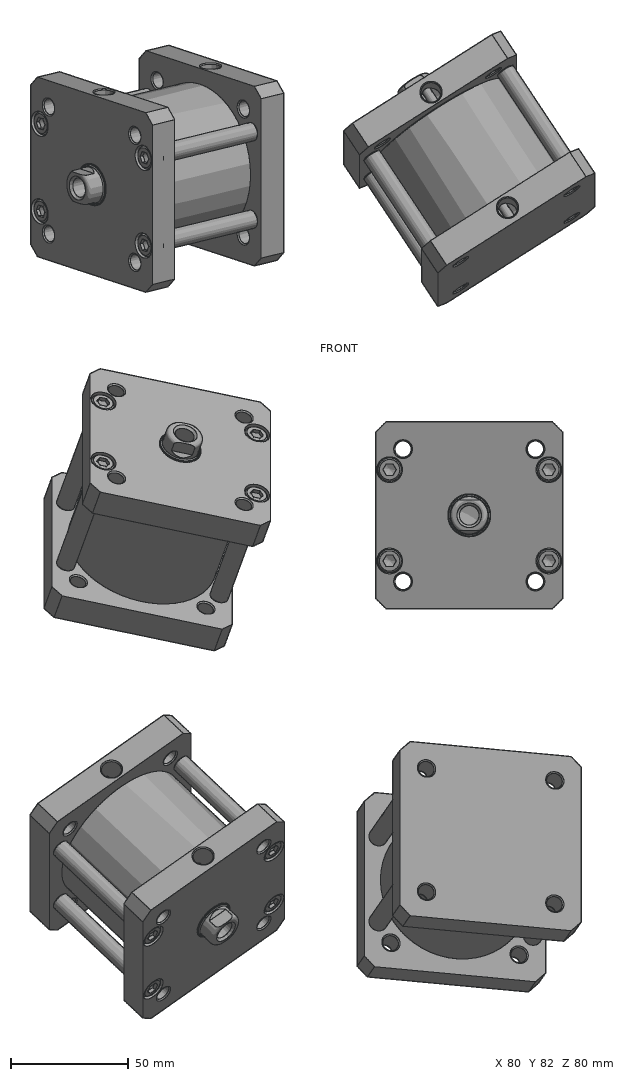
import cadquery as cq
import math


plate_side = 80.0
front_plate_thickness = 12.5
rear_plate_thickness = 12.8
corner_chamfer = 4.5
spigot_height = 2.5

hole_offset = 28.3
hole_diameter = 6.9
hole_mouth_diameter = 8.0

port_diameter = 8.5
port_mouth_diameter = 9.5
port_depth = 12.3
port_face_distance = 7.0
port_bar_diameter = 4.0
drill_point_angle = 118

tube_outer_diameter = 66.0
tube_bore_diameter = 63.0
end_gap = 0.3

rod_length_outside = 8.0
rod_diameter = 16.0
rod_tip_fillet = 1.7
rod_flats_width = 13.0
rod_flats_length = 5.5
rod_hole_diameter = 8.4
rod_hole_mouth_diameter = 10.5
rod_hole_depth = 15.0
rod_hole_cone_height = 0.5

lip_groove_diameter = 18.4
lip_groove_depth = 0.5
lip_diameter = 17.7
lip_bore_diameter = 16.6
lip_shoulder_height = 0.25
lip_height = 0.65

bolt_offset_x = 34.0
bolt_offset_z = 19.5
bolt_diameter = 8.0
bolt_neck_diameter = 6.65
bolt_head_diameter = 10.0
bolt_head_height = 6.0
bolt_head_chamfer = 0.65
bolt_recess_diameter = 11.0
bolt_head_inset = 0.5
bolt_thread_depth = 8.2
hex_width = 4.9
hex_depth = 1.5

total_length = 82.0
rod_tip_y = -rod_length_outside
rear_face_y = total_length - rod_length_outside
front_inner_y = front_plate_thickness
rear_inner_y = rear_face_y - rear_plate_thickness
bolt_seat_y = bolt_head_inset + bolt_head_height
rod_end_y = rear_inner_y - spigot_height

drill_slope = math.tan(math.radians(drill_point_angle / 2))
hole_points = [(x, z) for x in (-hole_offset, hole_offset) for z in (-hole_offset, hole_offset)]
bolt_points = [(x, z) for x in (-bolt_offset_x, bolt_offset_x) for z in (-bolt_offset_z, bolt_offset_z)]


def turned(profile):
    """Solid of revolution about the Y axis from (radius, y) points."""
    return cq.Workplane("XY").polyline(profile).close().revolve(360, (0, 0), (0, 1))


def cylinder(diameter, y_start, y_end):
    """Cylinder along the Y axis."""
    radius = diameter / 2
    return turned([(0, y_start), (radius, y_start), (radius, y_end), (0, y_end)])


def mounting_hole(y_start, y_end):
    """Cutter for a through hole with a 45 degree chamfer at both faces."""
    radius = hole_diameter / 2
    mouth_radius = hole_mouth_diameter / 2
    chamfer = mouth_radius - radius
    return turned([
        (0, y_start),
        (mouth_radius, y_start),
        (radius, y_start + chamfer),
        (radius, y_end - chamfer),
        (mouth_radius, y_end),
        (0, y_end),
    ])


def air_port(y):
    """Cutter for a drilled port in the top edge, with a round bar left across its bottom."""
    radius = port_diameter / 2
    mouth_radius = port_mouth_diameter / 2
    top = plate_side / 2
    bottom = top - port_depth
    drill = (
        cq.Workplane("XZ")
        .polyline([
            (0, top),
            (mouth_radius, top),
            (radius, top - (mouth_radius - radius)),
            (radius, bottom),
            (0, bottom - radius / drill_slope),
        ])
        .close()
        .revolve(360, (0, 0), (0, 1))
    )
    bar = cylinder(port_bar_diameter, -radius, radius).translate((0, 0, bottom))
    return drill.cut(bar).translate((0, y, 0))


def plate_blank(y_start, y_end, port_y):
    """Square plate with chamfered corners, its mounting holes and its air port."""
    plate = (
        cq.Workplane("XY")
        .box(plate_side, y_end - y_start, plate_side)
        .edges("|Y")
        .chamfer(corner_chamfer)
        .translate((0, (y_start + y_end) / 2, 0))
    )
    for x, z in hole_points:
        plate = plate.cut(mounting_hole(y_start, y_end).translate((x, 0, z)))
    return plate.cut(air_port(port_y))


def make_front_plate():
    plate = plate_blank(0, front_inner_y, port_face_distance)
    plate = plate.union(cylinder(tube_bore_diameter, front_inner_y, front_inner_y + spigot_height))
    plate = plate.cut(cylinder(lip_groove_diameter, 0, lip_groove_depth))
    lip = turned([
        (0, lip_groove_depth),
        (lip_diameter / 2, lip_groove_depth),
        (lip_diameter / 2, -lip_shoulder_height),
        (lip_bore_diameter / 2, -lip_height),
        (0, -lip_height),
    ])
    plate = plate.union(lip)
    plate = plate.cut(cylinder(lip_bore_diameter, -lip_height, lip_groove_depth))
    plate = plate.cut(cylinder(rod_diameter, lip_groove_depth, front_inner_y + spigot_height))
    recess = cylinder(bolt_recess_diameter, 0, bolt_seat_y)
    shank_hole = cylinder(bolt_neck_diameter, bolt_seat_y, front_inner_y)
    for x, z in bolt_points:
        plate = plate.cut(recess.translate((x, 0, z)))
        plate = plate.cut(shank_hole.translate((x, 0, z)))
    return plate


def make_rear_plate():
    plate = plate_blank(rear_inner_y, rear_face_y, rear_face_y - port_face_distance)
    plate = plate.union(cylinder(tube_bore_diameter, rod_end_y, rear_inner_y))
    thread_hole = cylinder(bolt_neck_diameter, rear_inner_y, rear_inner_y + bolt_thread_depth)
    for x, z in bolt_points:
        plate = plate.cut(thread_hole.translate((x, 0, z)))
    return plate


def make_tube():
    """Tube seated on the rear plate, with a small gap to the front plate."""
    outside = cylinder(tube_outer_diameter, front_inner_y + end_gap, rear_inner_y)
    return outside.cut(cylinder(tube_bore_diameter, front_inner_y + end_gap, rear_inner_y))


def make_piston_rod():
    rod = cylinder(rod_diameter, rod_tip_y, rod_end_y).faces("<Y").edges().fillet(rod_tip_fillet)

    flat_z = rod_flats_width / 2
    flat_end_y = rod_tip_y + rod_flats_length
    ramp = rod_diameter / 2 - flat_z
    flat = (
        cq.Workplane("YZ")
        .polyline([
            (rod_tip_y, flat_z),
            (flat_end_y, flat_z),
            (flat_end_y + ramp, flat_z + ramp),
            (rod_tip_y, flat_z + ramp),
        ])
        .close()
        .extrude(rod_diameter / 2, both=True)
    )
    rod = rod.cut(flat).cut(flat.mirror("XY"))

    radius = rod_hole_diameter / 2
    mouth_radius = rod_hole_mouth_diameter / 2
    bottom_y = rod_tip_y + rod_hole_depth
    hole = turned([
        (0, rod_tip_y),
        (mouth_radius, rod_tip_y),
        (radius, rod_tip_y + mouth_radius - radius),
        (radius, bottom_y),
        (0, bottom_y + rod_hole_cone_height),
    ])
    return rod.cut(hole)


def hex_socket():
    """Cutter for a hexagon socket with a conical bottom."""
    corner_radius = hex_width / 2 / math.cos(math.pi / 6)
    cone_depth = corner_radius / drill_slope
    hexagon = (
        cq.Workplane("XZ")
        .polygon(6, 2 * corner_radius)
        .extrude(-(hex_depth + cone_depth))
    )
    pointed = turned([
        (0, 0),
        (corner_radius, 0),
        (corner_radius, hex_depth),
        (0, hex_depth + cone_depth),
    ])
    return hexagon.intersect(pointed)


def make_tie_bolt():
    """Socket head bolt whose thick middle stops just short of both plates."""
    head_radius = bolt_head_diameter / 2
    neck_radius = bolt_neck_diameter / 2
    shank_radius = bolt_diameter / 2
    bolt = turned([
        (0, bolt_head_inset),
        (head_radius - bolt_head_chamfer, bolt_head_inset),
        (head_radius, bolt_head_inset + bolt_head_chamfer),
        (head_radius, bolt_seat_y),
        (neck_radius, bolt_seat_y),
        (neck_radius, front_inner_y + end_gap),
        (shank_radius, front_inner_y + end_gap),
        (shank_radius, rear_inner_y - end_gap),
        (neck_radius, rear_inner_y - end_gap),
        (neck_radius, rear_inner_y + bolt_thread_depth),
        (0, rear_inner_y + bolt_thread_depth),
    ])
    return bolt.cut(hex_socket().translate((0, bolt_head_inset, 0)))


front_plate = make_front_plate()
rear_plate = make_rear_plate()
tube = make_tube()
piston_rod = make_piston_rod()

tie_bolts = []
for x, z in bolt_points:
    tie_bolts.append(make_tie_bolt().translate((x, 0, z)).val())

result = cq.Compound.makeCompound([
    front_plate.val(),
    rear_plate.val(),
    tube.val(),
    piston_rod.val(),
    *tie_bolts,
])